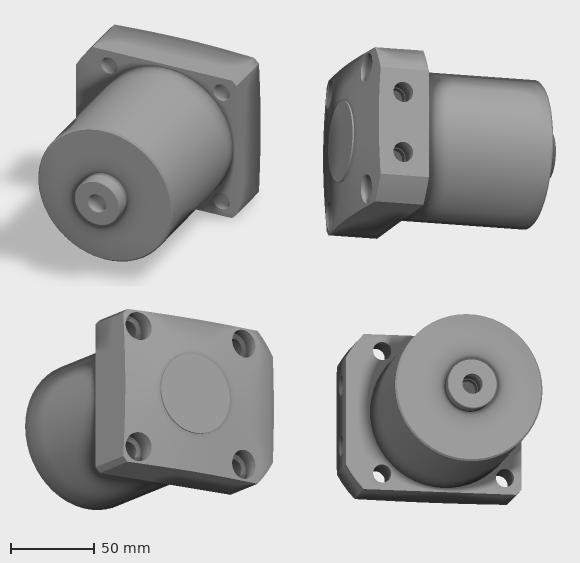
import cadquery as cq
import math


side = 95.0
port_side_extension = 12.0
flange_depth = 37.0
half_side = side / 2
left_x = -(half_side + port_side_extension)
left_corner_radius = 68.0
right_corner_radius = 65.0

boss_diameter = 49.0
boss_height = 1.0
cone_angle = 7.5

bolt_circle_diameter = 106.0
bolt_offset = bolt_circle_diameter / 2 / math.sqrt(2)
bolt_hole_diameter = 11.0
counterbore_diameter = 17.5
counterbore_depth = 11.0

port_spacing = 37.0
port_y = 16.0
bore_diameter = 12.3
bore_depth = 15.0
core_diameter = 11.0
core_depth = 20.0

barrel_diameter = 90.0
barrel_length = 83.0
barrel_chamfer = 1.0
rod_diameter = 30.0
rod_length = 11.0
rod_chamfer = 0.5

toward_right = cq.Vector(1, 0, 0)
toward_rear = cq.Vector(0, 1, 0)


def cone_drop(radius):
    """Distance of the conical face below the boss base at a given radius."""
    return (radius - boss_diameter / 2) * math.tan(math.radians(cone_angle))


def cylinder(start, diameter, length, direction):
    return cq.Workplane(cq.Solid.makeCylinder(diameter / 2, length, start, direction))


def arc_start(edge, radius):
    """Other coordinate where a circle about the axis crosses a straight edge."""
    return math.sqrt(radius**2 - edge**2)


def flange_blank():
    """Square plate, longer toward -X, with its corners turned to two radii."""
    left_x_top = -arc_start(half_side, left_corner_radius)
    left_z = arc_start(left_x, left_corner_radius)
    right_x_top = arc_start(half_side, right_corner_radius)
    right_z = arc_start(half_side, right_corner_radius)

    left_middle_angle = (math.atan2(half_side, left_x_top) + math.atan2(left_z, left_x)) / 2
    left_middle_x = left_corner_radius * math.cos(left_middle_angle)
    left_middle_z = left_corner_radius * math.sin(left_middle_angle)
    right_middle = right_corner_radius / math.sqrt(2)

    return (
        cq.Workplane("XZ")
        .moveTo(left_x, -left_z)
        .lineTo(left_x, left_z)
        .threePointArc((left_middle_x, left_middle_z), (left_x_top, half_side))
        .lineTo(right_x_top, half_side)
        .threePointArc((right_middle, right_middle), (half_side, right_z))
        .lineTo(half_side, -right_z)
        .threePointArc((right_middle, -right_middle), (right_x_top, -half_side))
        .lineTo(left_x_top, -half_side)
        .threePointArc((left_middle_x, -left_middle_z), (left_x, -left_z))
        .close()
        .extrude(-flange_depth)
    )


def rear_envelope():
    """Turned solid bounded at the rear by the boss and the cone around it."""
    boss_radius = boss_diameter / 2
    base_y = flange_depth - boss_height
    outer_radius = left_corner_radius + port_side_extension
    return (
        cq.Workplane("XY")
        .lineTo(outer_radius, 0)
        .lineTo(outer_radius, base_y - cone_drop(outer_radius))
        .lineTo(boss_radius, base_y)
        .lineTo(boss_radius, flange_depth)
        .lineTo(0, flange_depth)
        .close()
        .revolve(360, (0, 0, 0), (0, 1, 0))
    )


def mounting_hole(x, z):
    """Through hole, counterbored from the conical rear face."""
    seat_y = flange_depth - boss_height - cone_drop(bolt_circle_diameter / 2) - counterbore_depth
    bore = cylinder(cq.Vector(x, 0, z), bolt_hole_diameter, flange_depth, toward_rear)
    recess = cylinder(cq.Vector(x, seat_y, z), counterbore_diameter, flange_depth - seat_y, toward_rear)
    return bore.union(recess)


def stepped_hole(mouth, direction):
    """Blind bore with a narrower drilling beyond it."""
    bore = cylinder(mouth, bore_diameter, bore_depth, direction)
    core = cylinder(mouth, core_diameter, core_depth, direction)
    return bore.union(core)


def barrel():
    body = cq.Workplane("XZ").circle(barrel_diameter / 2).extrude(barrel_length)
    return body.faces("<Y").chamfer(barrel_chamfer)


def rod():
    body = cq.Workplane("XZ").workplane(offset=barrel_length).circle(rod_diameter / 2).extrude(rod_length)
    return body.faces("<Y").chamfer(rod_chamfer)


flange = flange_blank().intersect(rear_envelope())

for x in (-bolt_offset, bolt_offset):
    for z in (-bolt_offset, bolt_offset):
        flange = flange.cut(mounting_hole(x, z))

for port_z in (-port_spacing / 2, port_spacing / 2):
    flange = flange.cut(stepped_hole(cq.Vector(left_x, port_y, port_z), toward_right))

rod_end = cq.Vector(0, -(barrel_length + rod_length), 0)

result = flange.union(barrel()).union(rod()).cut(stepped_hole(rod_end, toward_rear))